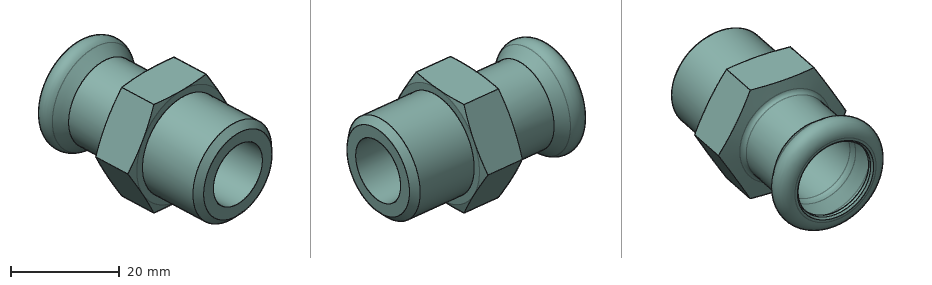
import cadquery as cq
import math

total_length = 41.2
across_flats = 24.0
neck_radius = 18.2 / 2
thread_radius = 20.97 / 2
thread_chamfer = 1.4

bead_round = 2.8
bead_center_radius = 8.8
cone_angle = 51

hex_front = 17.85
hex_back = 27.0
bevel_angle = math.radians(15)
hex_fillet = 1.05

lip_radius = 15.8 / 2
lip_chamfer = 0.39
socket_radius = 15.2 / 2
socket_bend = 2.0
socket_depth = 16.9
stop_fillet = 0.5
bore_radius = 13.0 / 2

wall = neck_radius - socket_radius
flat_radius = across_flats / 2
corner_radius = across_flats / math.sqrt(3)
bevel_slope = math.tan(bevel_angle)


def offset_point(center, radius, angle):
    """Point at a radius from center, at an angle in degrees from the X axis."""
    a = math.radians(angle)
    return (center[0] + radius * math.cos(a), center[1] + radius * math.sin(a))


bead_middle_angle = (180 + cone_angle) / 2
bead_center = (bead_round, bead_center_radius)
cone_start = offset_point(bead_center, bead_round, cone_angle)
cone_run = (cone_start[1] - neck_radius) * math.tan(math.radians(cone_angle))
cone_end = (cone_start[0] + cone_run, neck_radius)


def revolve_about_x(profile):
    return profile.close().revolve(360, (0, 0, 0), (1, 0, 0))


def make_socket_tube():
    """Bead, tangent cone and cylindrical neck."""
    profile = (
        cq.Workplane("XY")
        .moveTo(0, 0)
        .lineTo(0, bead_center_radius)
        .threePointArc(offset_point(bead_center, bead_round, bead_middle_angle), cone_start)
        .lineTo(*cone_end)
        .lineTo(hex_front, neck_radius)
        .lineTo(hex_front, 0)
    )
    return revolve_about_x(profile)


def make_hexagon():
    """Hexagon with conical ends, blended into the neck by a concave round."""
    neck_plane = hex_front - (flat_radius - neck_radius) * bevel_slope
    corner_setback = (corner_radius - flat_radius) * bevel_slope
    center_x = neck_plane - hex_fillet * (1 - math.sin(bevel_angle)) / math.cos(bevel_angle)
    round_center = (center_x, neck_radius + hex_fillet)
    round_end_angle = -math.degrees(bevel_angle)
    round_middle_angle = (round_end_angle - 90) / 2
    profile = (
        cq.Workplane("XY")
        .moveTo(center_x, 0)
        .lineTo(center_x, neck_radius)
        .threePointArc(
            offset_point(round_center, hex_fillet, round_middle_angle),
            offset_point(round_center, hex_fillet, round_end_angle),
        )
        .lineTo(hex_front + corner_setback, corner_radius)
        .lineTo(hex_back - corner_setback, corner_radius)
        .lineTo(hex_back, flat_radius)
        .lineTo(hex_back, 0)
    )
    prism = cq.Workplane("YZ").polygon(6, 2 * corner_radius).extrude(total_length)
    return revolve_about_x(profile).intersect(prism)


def make_thread_end():
    return (
        cq.Workplane("YZ", origin=(hex_back, 0, 0))
        .circle(thread_radius)
        .extrude(total_length - hex_back)
        .faces(">X")
        .chamfer(thread_chamfer)
    )


def make_bore():
    """Chamfered lip, seal groove in the bead, socket with a rounded stop, and through bore."""
    stop_radius = socket_radius - stop_fillet
    stop_round_center = (socket_depth - stop_fillet, stop_radius)
    mouth_radius = lip_radius + lip_chamfer
    groove_round = bead_round - wall
    bend_shift = (socket_bend - wall) * math.tan(math.radians(90 - cone_angle) / 2)
    bend_center = (cone_end[0] + bend_shift, socket_radius + socket_bend)
    bend_middle_angle = 180 + (90 + cone_angle) / 2
    profile = (
        cq.Workplane("XY")
        .moveTo(0, 0)
        .lineTo(0, mouth_radius)
        .lineTo(lip_chamfer, lip_radius)
        .lineTo(wall - lip_chamfer, lip_radius)
        .lineTo(wall, mouth_radius)
        .lineTo(wall, bead_center_radius)
        .threePointArc(
            offset_point(bead_center, groove_round, bead_middle_angle),
            offset_point(bead_center, groove_round, cone_angle),
        )
        .lineTo(*offset_point(bend_center, socket_bend, 180 + cone_angle))
        .threePointArc(
            offset_point(bend_center, socket_bend, bend_middle_angle),
            (bend_center[0], socket_radius),
        )
        .lineTo(socket_depth - stop_fillet, socket_radius)
        .threePointArc(
            offset_point(stop_round_center, stop_fillet, 45),
            (socket_depth, stop_radius),
        )
        .lineTo(socket_depth, bore_radius)
        .lineTo(total_length, bore_radius)
        .lineTo(total_length, 0)
    )
    return revolve_about_x(profile)


body = make_socket_tube().union(make_hexagon()).union(make_thread_end())
result = body.cut(make_bore())